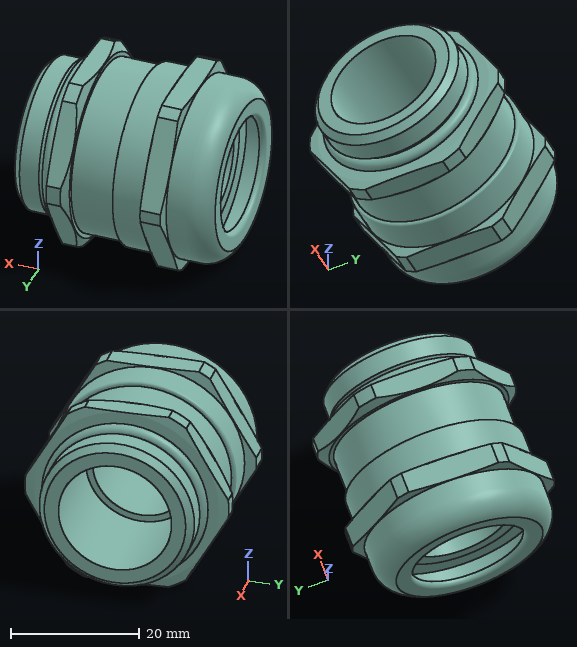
import cadquery as cq
import math


CAP_FRONT = 0.0
LIP_END = 1.0
DOME_END = 3.83
SEAL_START = 4.77
CAP_HEX_START = 7.15
CAP_HEX_END = 11.07
CAP_END = 16.25
SEAL_END = 17.25
BODY_HEX_START = 23.35
BODY_HEX_END = 26.85
THREAD_START = 29.4
END_CHAMFER_START = 32.65
BODY_END = 33.85

CAP_DIAMETER = 29.8
DOME_FACE_DIAMETER = 24.37
DOME_RADIUS = 4.0
LIP_DIAMETER = 18.5
LIP_FACE_DIAMETER = 20.0
SLEEVE_DIAMETER = 26.78
CAP_END_FILLET = 0.37

ACROSS_FLATS = 30.0
HEX_FACE_DIAMETER = CAP_DIAMETER
CAP_HEX_CORNER_DIAMETER = 33.48
BODY_HEX_CORNER_DIAMETER = 32.9
SHALLOW_CHAMFER_ANGLE = 8.0
STEEP_CHAMFER_ANGLE = 30.0

NECK_DIAMETER = 28.3
THREAD_DIAMETER = 25.0
END_FACE_DIAMETER = 22.8
GROOVE_DIAMETER = 22.8
SEAL_DIAMETER = 20.6
SEAL_BORE = 16.0
BODY_BORE = 18.2
O_RING_DIAMETER = 26.78
O_RING_SECTION = (O_RING_DIAMETER - GROOVE_DIAMETER) / 2


def revolve_about_x(profile):
    """Turn a closed (x, radius) profile around the X axis."""
    return profile.close().revolve(360, (0, 0, 0), (1, 0, 0))


def cylinder(start, end, diameter):
    return cq.Workplane("YZ", origin=(start, 0, 0)).circle(diameter / 2).extrude(end - start)


def chamfered_hex(start, end, corner_diameter, front_angle, rear_angle):
    """Hexagon with flats facing +Z and -Z, rounded corners and conical chamfers on both faces."""
    across_corners = ACROSS_FLATS / math.cos(math.pi / 6)
    hexagon = cq.Workplane("YZ", origin=(start, 0, 0)).polygon(6, across_corners).extrude(end - start)
    face_radius = HEX_FACE_DIAMETER / 2
    corner_radius = corner_diameter / 2
    front_chamfer = (corner_radius - face_radius) * math.tan(math.radians(front_angle))
    rear_chamfer = (corner_radius - face_radius) * math.tan(math.radians(rear_angle))
    turned_blank = revolve_about_x(
        cq.Workplane("XY")
        .moveTo(start, 0)
        .lineTo(start, face_radius)
        .lineTo(start + front_chamfer, corner_radius)
        .lineTo(end - rear_chamfer, corner_radius)
        .lineTo(end, face_radius)
        .lineTo(end, 0)
    )
    return hexagon.intersect(turned_blank)


def dome_midpoint():
    """Middle point of the dome arc, which runs tangent into the cap's cylinder."""
    centre_radius = CAP_DIAMETER / 2 - DOME_RADIUS
    face_angle = math.acos((DOME_FACE_DIAMETER / 2 - centre_radius) / DOME_RADIUS)
    x = DOME_END - DOME_RADIUS * math.sin(face_angle / 2)
    return x, centre_radius + DOME_RADIUS * math.cos(face_angle / 2)


def make_cap():
    lip_rounding = (LIP_FACE_DIAMETER - LIP_DIAMETER) / 2
    arc_inset = lip_rounding * (1 - math.cos(math.pi / 4))
    cap_radius = CAP_DIAMETER / 2
    lip_radius = LIP_DIAMETER / 2
    shell = revolve_about_x(
        cq.Workplane("XY")
        .moveTo(CAP_FRONT, DOME_FACE_DIAMETER / 2)
        .threePointArc(dome_midpoint(), (DOME_END, cap_radius))
        .lineTo(CAP_END, cap_radius)
        .lineTo(CAP_END, 0)
        .lineTo(CAP_FRONT, 0)
    )
    shell = shell.faces(">X").edges().fillet(CAP_END_FILLET)
    hexagon = chamfered_hex(
        CAP_HEX_START,
        CAP_HEX_END,
        CAP_HEX_CORNER_DIAMETER,
        SHALLOW_CHAMFER_ANGLE,
        SHALLOW_CHAMFER_ANGLE,
    )
    opening = revolve_about_x(
        cq.Workplane("XY")
        .moveTo(CAP_FRONT, 0)
        .lineTo(CAP_FRONT, LIP_FACE_DIAMETER / 2)
        .threePointArc(
            (CAP_FRONT + arc_inset, lip_radius + arc_inset),
            (CAP_FRONT + lip_rounding, lip_radius),
        )
        .lineTo(LIP_END, lip_radius)
        .lineTo(LIP_END, SLEEVE_DIAMETER / 2)
        .lineTo(CAP_END, SLEEVE_DIAMETER / 2)
        .lineTo(CAP_END, 0)
    )
    return shell.union(hexagon).cut(opening)


def make_body():
    end_radius = THREAD_DIAMETER / 2
    groove_radius = GROOVE_DIAMETER / 2
    flank_length = end_radius - groove_radius
    turned = revolve_about_x(
        cq.Workplane("XY")
        .moveTo(SEAL_START, 0)
        .lineTo(SEAL_START, SLEEVE_DIAMETER / 2)
        .lineTo(CAP_END, SLEEVE_DIAMETER / 2)
        .lineTo(CAP_END, NECK_DIAMETER / 2)
        .lineTo(BODY_HEX_END, NECK_DIAMETER / 2)
        .lineTo(BODY_HEX_END, groove_radius)
        .lineTo(THREAD_START - flank_length, groove_radius)
        .lineTo(THREAD_START, end_radius)
        .lineTo(END_CHAMFER_START, end_radius)
        .lineTo(BODY_END, END_FACE_DIAMETER / 2)
        .lineTo(BODY_END, 0)
    )
    hexagon = chamfered_hex(
        BODY_HEX_START,
        BODY_HEX_END,
        BODY_HEX_CORNER_DIAMETER,
        STEEP_CHAMFER_ANGLE,
        SHALLOW_CHAMFER_ANGLE,
    )
    seal_seat = cylinder(SEAL_START, SEAL_END, SEAL_DIAMETER)
    bore = cylinder(SEAL_START, BODY_END, BODY_BORE)
    return turned.union(hexagon).cut(seal_seat).cut(bore)


def make_seal():
    sleeve = cylinder(SEAL_START, SEAL_END, SEAL_DIAMETER)
    return sleeve.cut(cylinder(SEAL_START, SEAL_END, SEAL_BORE))


def make_o_ring():
    section_radius = O_RING_SECTION / 2
    ring_radius = (GROOVE_DIAMETER + O_RING_SECTION) / 2
    section = cq.Workplane("XY").center(BODY_HEX_END + section_radius, ring_radius).circle(section_radius)
    return section.revolve(360, (0, -ring_radius, 0), (1, -ring_radius, 0))


cap = make_cap()
body = make_body()
seal = make_seal()
o_ring = make_o_ring()
bodies = [cap, body, seal, o_ring]
result = cq.Compound.makeCompound([part.solids().val() for part in bodies])